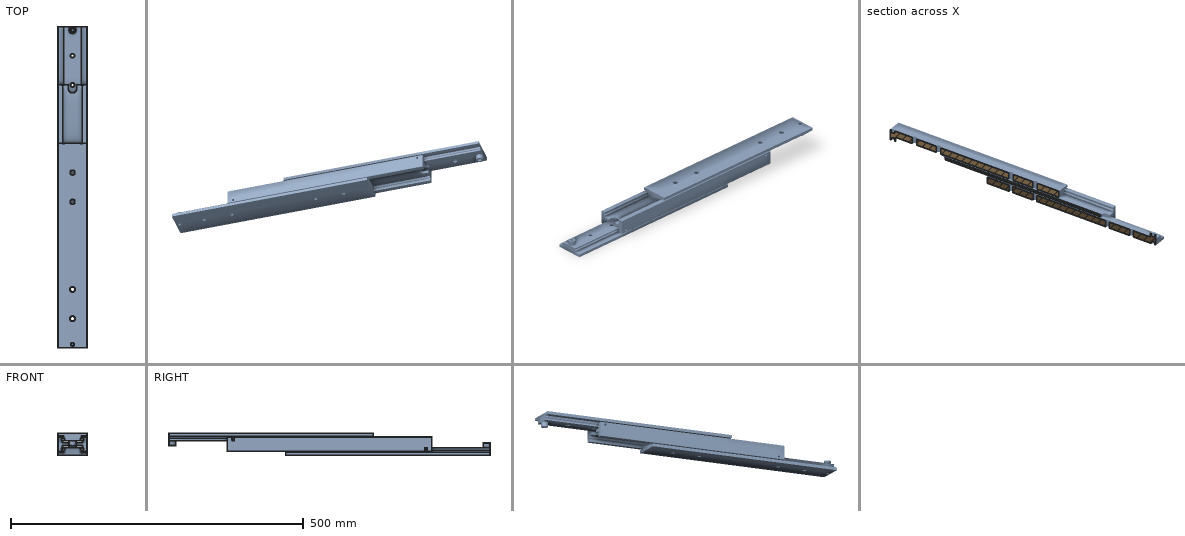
import cadquery as cq
import math

member_length = 350.0
member_width = 50.0
extension = 100.0
total_height = 38.0

race_height = 8.3
race_center_x = 16.2
race_radius = 2.4

flange_thickness = 5.0
rail_body_half_width = 15.3
rail_inner_face = 5.8
screw_hole_offsets = (50.0, 100.0, 250.0, 300.0)
clearance_hole_diameter = 8.4
tapped_hole_diameter = 6.6

stop_pin_diameter = 12.0
stop_pin_inset = stop_pin_diameter / 2
stop_pin_length = 8.2
pin_hole_diameter = 6.0
pin_hole_depth = 4.0
drill_tip_angle = 118.0

slide_height = 25.0
slide_chamfer = 0.5
channel_half_width = 17.1
web_thickness = 5.0
notch_width = 15.0
cross_hole_diameter = 4.0
cross_hole_inset = 10.0


def make_raceways(level, start_y):
    """Round bars that cut the ball raceways above (level 1) or below (level -1) the mid plane."""
    centers = [(side * race_center_x, level * race_height) for side in (-1, 1)]
    return (
        cq.Workplane("XZ", origin=(0, start_y, 0))
        .pushPoints(centers)
        .circle(race_radius)
        .extrude(-member_length)
    )


def make_pin_drilling(pin_axis_y, pin_tip):
    """Blind drilled hole with a conical bottom, opening at the free end of the stop pin."""
    radius = pin_hole_diameter / 2
    cone_tip = pin_hole_depth + radius / math.tan(math.radians(drill_tip_angle / 2))
    return (
        cq.Workplane("XZ", origin=(0, pin_axis_y, pin_tip))
        .polyline([(0, 0), (radius, 0), (radius, pin_hole_depth), (0, cone_tip)])
        .close()
        .revolve(360, (0, 0), (0, 1))
    )


def make_rail(screw_hole_diameter):
    """Rail in the upper position, with its stop pin end at -Y."""
    top = total_height / 2
    flange_bottom = top - flange_thickness
    body_height = flange_bottom - rail_inner_face
    end_y = -extension - member_length / 2
    center_z = (flange_bottom + rail_inner_face) / 2

    flange = (
        cq.Workplane("XY", origin=(0, -extension, top - flange_thickness / 2))
        .box(member_width, member_length, flange_thickness)
    )
    body = (
        cq.Workplane("XY", origin=(0, -extension, center_z))
        .box(2 * rail_body_half_width, member_length, body_height)
    )
    rail = flange.union(body).cut(make_raceways(1, end_y))

    screw_holes = (
        cq.Workplane("XY")
        .pushPoints([(0, end_y + offset) for offset in screw_hole_offsets])
        .circle(screw_hole_diameter / 2)
        .extrude(top)
    )
    rail = rail.cut(screw_holes)

    pin_axis_y = end_y + stop_pin_inset
    pin_tip = rail_inner_face - stop_pin_length
    pin = (
        cq.Workplane("XY", origin=(0, pin_axis_y, pin_tip))
        .circle(stop_pin_diameter / 2)
        .extrude(stop_pin_length)
    )
    outer_hole = (
        cq.Workplane("XY", origin=(0, pin_axis_y, flange_bottom))
        .circle(pin_hole_diameter / 2)
        .extrude(flange_thickness)
    )
    return rail.union(pin).cut(make_pin_drilling(pin_axis_y, pin_tip)).cut(outer_hole)


def make_notch(level):
    """U-shaped notch in the web, open at the slide end where a stop pin arrives."""
    end_y = -level * member_length / 2
    center_y = end_y + level * stop_pin_inset
    round_end = (
        cq.Workplane("XY", origin=(0, center_y, -web_thickness / 2))
        .circle(notch_width / 2)
        .extrude(web_thickness)
    )
    mouth = (
        cq.Workplane("XY", origin=(0, (end_y + center_y) / 2, 0))
        .box(notch_width, stop_pin_inset, web_thickness)
    )
    return round_end.union(mouth)


def make_cross_holes(level):
    """Hole through both side walls, into the raceways near one end."""
    hole_y = -level * (member_length / 2 - cross_hole_inset)
    return (
        cq.Workplane("YZ", origin=(-member_width / 2, hole_y, level * race_height))
        .circle(cross_hole_diameter / 2)
        .extrude(member_width)
    )


def make_slide():
    """Middle slide: two side walls joined by a central web, with raceways on the inner walls."""
    slide = (
        cq.Workplane("XY")
        .box(member_width, member_length, slide_height)
        .edges("|Y")
        .chamfer(slide_chamfer)
    )
    channel_depth = (slide_height - web_thickness) / 2
    for level in (-1, 1):
        channel = (
            cq.Workplane("XY", origin=(0, 0, level * (slide_height - channel_depth) / 2))
            .box(2 * channel_half_width, member_length, channel_depth)
        )
        slide = slide.cut(channel)
        slide = slide.cut(make_raceways(level, -member_length / 2))
        slide = slide.cut(make_notch(level))
        slide = slide.cut(make_cross_holes(level))
    return slide


upper_rail = make_rail(clearance_hole_diameter)
lower_rail = make_rail(tapped_hole_diameter).rotate((0, 0, 0), (1, 0, 0), 180)
middle_slide = make_slide()

result = cq.Compound.makeCompound([upper_rail.val(), middle_slide.val(), lower_rail.val()])